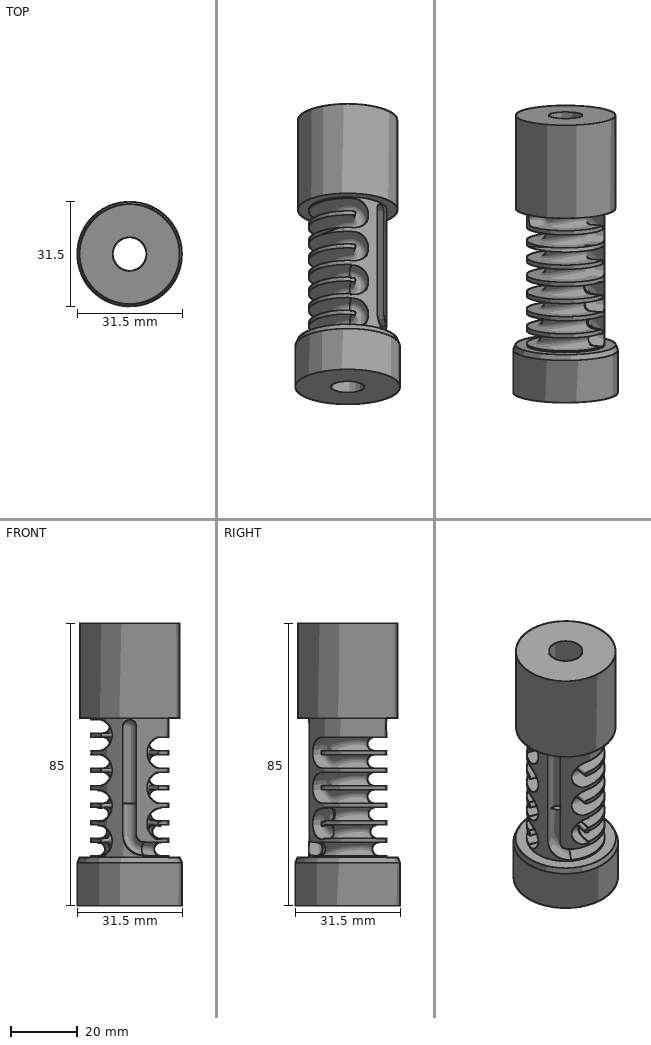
import cadquery as cq
import math

total_height = 85.0
base_diameter = 31.5
base_height = 14.6
base_chamfer_width = 0.7
base_chamfer_height = 1.6
neck_diameter = 23.5
head_diameter = 30.0
head_height = 28.6
bore_diameter = 10.0

channel_width = 4.0
groove_count = 8
groove_pitch = 5.3
first_groove_z = 54.0
ball_centre_radius = 8.0
taper_start_z = 30.95
taper_angle = 6.0
bend_angle = 53.5
bend_lead = 0.7
elbow_radius = 4.2
elbow_angle = 26.0
elbow_lead = 1.0

channel_radius = channel_width / 2
neck_radius = neck_diameter / 2
bend_radius = groove_pitch / 2
cut_depth = neck_radius
lowest_groove_z = first_groove_z - (groove_count - 1) * groove_pitch


def ball_radius_at(z):
    """Distance of the channel's ball centre from the part axis at height z."""
    rise = max(0.0, taper_start_z - z) * math.tan(math.radians(taper_angle))
    return ball_centre_radius + rise


def make_base():
    base_radius = base_diameter / 2
    return (
        cq.Workplane("XZ")
        .lineTo(base_radius, 0)
        .lineTo(base_radius, base_height - base_chamfer_height)
        .lineTo(base_radius - base_chamfer_width, base_height)
        .lineTo(0, base_height)
        .close()
        .revolve(360, (0, 0, 0), (0, 1, 0))
    )


def make_cylinder(diameter, bottom_z, top_z):
    return cq.Workplane("XY", origin=(0, 0, bottom_z)).circle(diameter / 2).extrude(top_z - bottom_z)


def channel_section(plane):
    """Channel cross-section: round floor about the origin, open towards local +x."""
    return (
        cq.Workplane(plane)
        .moveTo(cut_depth, -channel_radius)
        .lineTo(0, -channel_radius)
        .threePointArc((-channel_radius, 0), (0, channel_radius))
        .lineTo(cut_depth, channel_radius)
        .close()
    )


def make_groove(z, start_angle, end_angle):
    """Ring groove between two angles, counted anticlockwise from -Y."""
    centre = ball_radius_at(z)
    plane = cq.Plane(origin=(0, -centre, z), xDir=(0, -1, 0), normal=(1, 0, 0))
    sweep_angle = end_angle - start_angle
    ring = channel_section(plane).revolve(sweep_angle, (-centre, 0, 0), (-centre, -1, 0))
    return ring.rotate((0, 0, 0), (0, 0, 1), start_angle)


def make_plunge(z):
    """Ball-ended hole going outwards along -Y."""
    centre = ball_radius_at(z)
    ball = cq.Workplane("XY").sphere(channel_radius).translate((0, -centre, z))
    shank = cq.Workplane("XZ", origin=(0, -centre, z)).circle(channel_radius).extrude(cut_depth)
    return ball.union(shank)


def make_u_bend(upper_z, angle):
    """U-bend joining the groove at upper_z to the one below.

    The groove pair ends at the given angle, and the bend points towards -Y.
    """
    lower_z = upper_z - groove_pitch
    middle_z = (upper_z + lower_z) / 2
    upper_centre = ball_radius_at(upper_z)
    lower_centre = ball_radius_at(lower_z)
    middle_centre = (upper_centre + lower_centre) / 2
    tilt = math.degrees(math.atan2(lower_centre - upper_centre, groove_pitch))

    path = (
        cq.Workplane("XZ")
        .moveTo(0, bend_radius)
        .lineTo(bend_lead, bend_radius)
        .threePointArc((bend_lead + bend_radius, 0), (bend_lead, -bend_radius))
        .lineTo(0, -bend_radius)
    )
    plane = cq.Plane(origin=(0, 0, bend_radius), xDir=(0, -1, 0), normal=(1, 0, 0))
    bend = channel_section(plane).sweep(path)
    if angle > 0:
        bend = bend.mirror("YZ")
    return (
        bend.rotate((0, 0, 0), (1, 0, 0), tilt)
        .translate((0, -middle_centre, middle_z))
        .rotate((0, 0, 0), (0, 0, 1), angle)
    )


def make_front_slot():
    """Upright slot at -Y that follows the taper and turns into the lowest groove."""
    top_point = (0, -ball_centre_radius, first_groove_z)
    plane = cq.Plane(origin=top_point, xDir=(0, -1, 0), normal=(0, 0, -1))
    upright = channel_section(plane).extrude(first_groove_z - taper_start_z)

    tapered_length = (taper_start_z - lowest_groove_z) / math.cos(math.radians(taper_angle))
    straight_length = tapered_length - elbow_radius
    diagonal = elbow_radius * math.sqrt(0.5)
    path = (
        cq.Workplane("XZ")
        .lineTo(0, -straight_length)
        .threePointArc(
            (elbow_radius - diagonal, -straight_length - diagonal),
            (elbow_radius, -tapered_length),
        )
        .lineTo(elbow_radius + elbow_lead, -tapered_length)
    )
    plane = cq.Plane(origin=(0, 0, 0), xDir=(0, -1, 0), normal=(0, 0, -1))
    elbow = (
        channel_section(plane)
        .sweep(path)
        .rotate((0, 0, 0), (1, 0, 0), -taper_angle)
        .translate((0, -ball_centre_radius, taper_start_z))
    )
    return make_plunge(first_groove_z).union(upright).union(elbow)


def cut_channel(neck):
    """Mill the whole winding channel: front slot, ring grooves, U-bends and end plunge."""
    end_plunge = make_plunge(first_groove_z).rotate((0, 0, 0), (0, 0, 1), 180)
    neck = neck.cut(make_front_slot()).cut(end_plunge)

    last = groove_count - 1
    for index in range(groove_count):
        groove_z = first_groove_z - index * groove_pitch
        start_angle = bend_angle
        if index == 0:
            start_angle = 180
        elif index == last:
            start_angle = elbow_angle
        neck = neck.cut(make_groove(groove_z, start_angle, 360 - bend_angle))

        if index < last:
            side = -1 if index % 2 == 0 else 1
            neck = neck.cut(make_u_bend(groove_z, side * bend_angle))
    return neck


head_bottom_z = total_height - head_height
neck = cut_channel(make_cylinder(neck_diameter, base_height, head_bottom_z))
head = make_cylinder(head_diameter, head_bottom_z, total_height)
bore = make_cylinder(bore_diameter, 0, total_height)

result = make_base().union(neck).union(head).cut(bore)